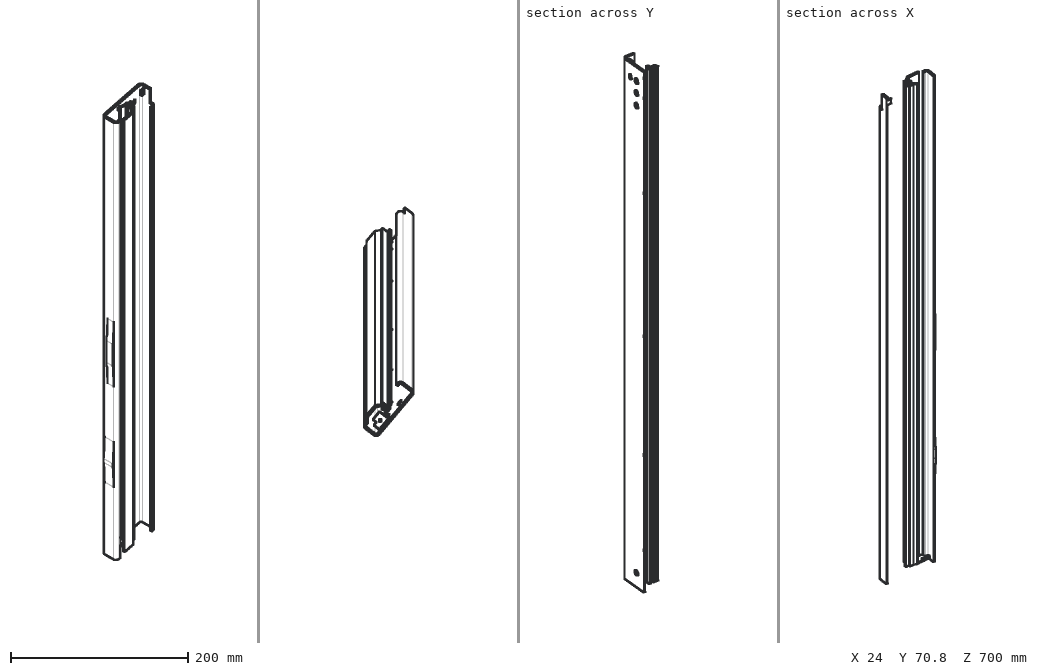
import cadquery as cq

LENGTH = 700.0
TOTAL_DEPTH = 24.0
TOTAL_WIDTH = 70.8
PAD_HEIGHT = 1.8
RAIL_WIDTH = TOTAL_WIDTH - PAD_HEIGHT
WALL = 2.4

RAIL_DEPTH = 22.0
LOWER_FLANGE_DEPTH = 21.0
LIP_WIDTH = 7.0
BEND_RADIUS = 4.5
INNER_BEND_RADIUS = BEND_RADIUS - WALL

SCREW_HOLE_DIAMETER = 6.8
SCREW_HOLE_Y = 43.7
SCREW_HOLE_PLACES = [(SCREW_HOLE_Y, z) for z in (19.5, 648.0, 665.0, 681.0)]
SLOT_PLACE = (55.0, 681.0)
SLOT_LENGTH = 6.5
SLOT_WIDTH = 4.5
SLOT_ANGLE = 90.0
RIVET_HOLE_DIAMETER = 5.2
RIVET_HOLE_Y = 27.8
RIVET_HOLE_HEIGHTS = (57.0, 185.0, 345.0, 537.0, 665.0, 692.0)

WINDOW_BOTTOM = 10.5
WINDOW_HEIGHT = 12.5
WINDOW_Y_MIN = 11.5
WINDOW_Y_MAX = 25.0
RELIEF_Y_MIN = 6.5
RELIEF_HEIGHT = 8.5
TAB_REACH = 15.0
TAB_NOSE_REACH = 10.0
TAB_Y_MIN = 7.0
TAB_STEP_Y = 11.5
TAB_Y_MAX = 23.5
TAB_HOLE_PLACE = (8.0, 16.0)
TAB_HOLE_DIAMETER = 3.0

PADS = [
    ((3.5, 17.0), (116.0, 149.0, 155.0, 188.5)),
    ((8.0, 17.0), (277.0, 311.5, 346.5, 380.5)),
]

LUG_X_MIN = 5.5
LUG_WIDTH = 2.5
LUG_DROP = 5.0
LUG_BOTTOM = 689.0
LUG_HEIGHT = 7.0

CUTBACK_X_MIN = 15.0
CUTBACK_HEIGHT = 22.0

INNER_RAIL_BOTTOM = 8.0
INNER_WEB_Y_MIN = 11.0
INNER_WEB_Y_MAX = 26.5
INNER_FLANGE_Y = 34.5
INNER_FLANGE_X_MIN = 8.0
INNER_SLOPE_X = 19.5
INNER_SLOPE_Y = 31.5
HOOK_X_MIN = 10.0
HOOK_HEIGHT = 4.0
GUIDE_LEG_KNEE_Y = 29.0
GUIDE_LEG_TIP_X = 5.5
GUIDE_LEG_TIP_Y = 24.0
RIB_X_MIN = 14.0
RIB_THICKNESS = 1.5
RIB_DROP = 4.5


def box_between(low, high):
    """Box from its lowest corner to its highest corner."""
    size = [b - a for a, b in zip(low, high)]
    return cq.Workplane("XY").box(*size, centered=False).translate(low)


def outer_channel():
    """Lipped channel with rounded bends, open toward +X."""
    outline = [
        (0, 0),
        (LOWER_FLANGE_DEPTH, 0),
        (LOWER_FLANGE_DEPTH, LIP_WIDTH),
        (LOWER_FLANGE_DEPTH - WALL, LIP_WIDTH),
        (LOWER_FLANGE_DEPTH - WALL, WALL),
        (WALL, WALL),
        (WALL, RAIL_WIDTH - WALL),
        (RAIL_DEPTH - WALL, RAIL_WIDTH - WALL),
        (RAIL_DEPTH - WALL, RAIL_WIDTH - LIP_WIDTH),
        (RAIL_DEPTH, RAIL_WIDTH - LIP_WIDTH),
        (RAIL_DEPTH, RAIL_WIDTH),
        (0, RAIL_WIDTH),
    ]
    channel = cq.Workplane("XY").polyline(outline).close().extrude(LENGTH)
    outer_bends = [
        (0, 0),
        (LOWER_FLANGE_DEPTH, 0),
        (0, RAIL_WIDTH),
        (RAIL_DEPTH, RAIL_WIDTH),
    ]
    inner_bends = [
        (WALL, WALL),
        (LOWER_FLANGE_DEPTH - WALL, WALL),
        (WALL, RAIL_WIDTH - WALL),
        (RAIL_DEPTH - WALL, RAIL_WIDTH - WALL),
    ]
    for corners, radius in ((outer_bends, BEND_RADIUS), (inner_bends, INNER_BEND_RADIUS)):
        for x, y in corners:
            edge = cq.selectors.NearestToPointSelector((x, y, LENGTH / 2))
            channel = channel.edges("|Z").edges(edge).fillet(radius)
    return channel


def web_cuts():
    """Screw holes, rivet holes, slot and window through the web."""
    web = cq.Workplane("YZ")
    rivet_places = [(RIVET_HOLE_Y, z) for z in RIVET_HOLE_HEIGHTS]
    screw_holes = web.pushPoints(SCREW_HOLE_PLACES).circle(SCREW_HOLE_DIAMETER / 2).extrude(WALL)
    rivet_holes = web.pushPoints(rivet_places).circle(RIVET_HOLE_DIAMETER / 2).extrude(WALL)
    slot = web.pushPoints([SLOT_PLACE]).slot2D(SLOT_LENGTH, SLOT_WIDTH, SLOT_ANGLE).extrude(WALL)
    window = box_between(
        (0, WINDOW_Y_MIN, WINDOW_BOTTOM),
        (WALL, WINDOW_Y_MAX, WINDOW_BOTTOM + WINDOW_HEIGHT),
    )
    relief = box_between(
        (0, RELIEF_Y_MIN, WINDOW_BOTTOM),
        (WALL, WINDOW_Y_MIN, WINDOW_BOTTOM + RELIEF_HEIGHT),
    )
    return [screw_holes, rivet_holes, slot, window, relief]


def stop_tab():
    """Horizontal tab standing on the web, with a narrower nose and a small hole."""
    root_x = WALL / 2
    outline = [
        (root_x, TAB_Y_MIN),
        (TAB_NOSE_REACH, TAB_Y_MIN),
        (TAB_NOSE_REACH, TAB_STEP_Y),
        (TAB_REACH, TAB_STEP_Y),
        (TAB_REACH, TAB_Y_MAX),
        (root_x, TAB_Y_MAX),
    ]
    tab_plane = cq.Workplane("XY", origin=(0, 0, WINDOW_BOTTOM - WALL))
    tab = tab_plane.polyline(outline).close().extrude(WALL)
    hole = tab_plane.pushPoints([TAB_HOLE_PLACE]).circle(TAB_HOLE_DIAMETER / 2).extrude(WALL)
    return tab.cut(hole)


def flange_pad(x_range, heights):
    """Pad rising from the lower flange on a ramp at each end."""
    x_min, x_max = x_range
    foot_low, top_low, top_high, foot_high = heights
    root_y = WALL / 2
    outline = [
        (root_y, foot_low),
        (0, foot_low),
        (-PAD_HEIGHT, top_low),
        (-PAD_HEIGHT, top_high),
        (0, foot_high),
        (root_y, foot_high),
    ]
    pad_plane = cq.Workplane("YZ", origin=(x_min, 0, 0))
    return pad_plane.polyline(outline).close().extrude(x_max - x_min)


def stop_lug():
    """Small lug hanging from the upper flange near the upper end."""
    return box_between(
        (LUG_X_MIN, RAIL_WIDTH - WALL - LUG_DROP, LUG_BOTTOM),
        (LUG_X_MIN + LUG_WIDTH, RAIL_WIDTH - WALL / 2, LUG_BOTTOM + LUG_HEIGHT),
    )


def flange_cutback():
    """Block that shortens the upper flange and its lip at the upper end."""
    return box_between(
        (CUTBACK_X_MIN, RAIL_WIDTH - LIP_WIDTH, LENGTH - CUTBACK_HEIGHT),
        (RAIL_DEPTH, RAIL_WIDTH, LENGTH),
    )


def make_outer_rail():
    rail = outer_channel()
    for cut in web_cuts():
        rail = rail.cut(cut)
    rail = rail.union(stop_tab()).union(stop_lug())
    rail = rail.cut(flange_cutback())
    for x_range, heights in PADS:
        rail = rail.union(flange_pad(x_range, heights))
    return rail


def make_inner_rail():
    """Web facing the open side of the outer rail, sloping to a flange with hook, rib and leg."""
    outline = [
        (TOTAL_DEPTH, INNER_WEB_Y_MIN),
        (TOTAL_DEPTH, INNER_WEB_Y_MAX),
        (INNER_SLOPE_X, INNER_SLOPE_Y),
        (INNER_SLOPE_X, INNER_FLANGE_Y),
        (HOOK_X_MIN + WALL, INNER_FLANGE_Y),
        (HOOK_X_MIN + WALL, INNER_FLANGE_Y + HOOK_HEIGHT),
        (HOOK_X_MIN, INNER_FLANGE_Y + HOOK_HEIGHT),
        (HOOK_X_MIN, INNER_FLANGE_Y),
        (INNER_FLANGE_X_MIN, INNER_FLANGE_Y),
        (INNER_FLANGE_X_MIN, GUIDE_LEG_KNEE_Y),
        (GUIDE_LEG_TIP_X, GUIDE_LEG_TIP_Y),
        (GUIDE_LEG_TIP_X + WALL, GUIDE_LEG_TIP_Y),
        (INNER_FLANGE_X_MIN + WALL, GUIDE_LEG_KNEE_Y),
        (INNER_FLANGE_X_MIN + WALL, INNER_FLANGE_Y - WALL),
        (RIB_X_MIN, INNER_FLANGE_Y - WALL),
        (RIB_X_MIN, INNER_FLANGE_Y - WALL - RIB_DROP),
        (RIB_X_MIN + RIB_THICKNESS, INNER_FLANGE_Y - WALL - RIB_DROP),
        (RIB_X_MIN + RIB_THICKNESS, INNER_FLANGE_Y - WALL),
        (INNER_SLOPE_X - WALL, INNER_FLANGE_Y - WALL),
        (INNER_SLOPE_X - WALL, INNER_SLOPE_Y - WALL / 2),
        (TOTAL_DEPTH - WALL, INNER_WEB_Y_MAX - WALL / 2),
        (TOTAL_DEPTH - WALL, INNER_WEB_Y_MIN),
    ]
    rail_plane = cq.Workplane("XY", origin=(0, 0, INNER_RAIL_BOTTOM))
    return rail_plane.polyline(outline).close().extrude(LENGTH - INNER_RAIL_BOTTOM)


outer_rail = make_outer_rail()
inner_rail = make_inner_rail()

result = cq.Compound.makeCompound([outer_rail.val(), inner_rail.val()])